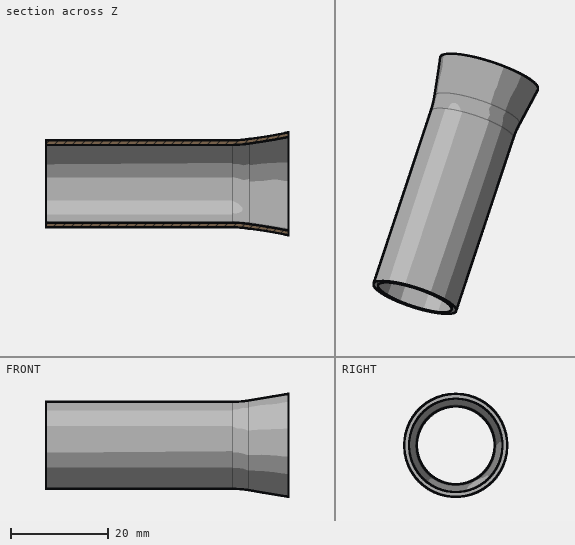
import cadquery as cq
import math

length = 50.0
tube_radius = 9.0
wall = 1.0
flare_radius = 10.65
bend_start = 38.5
bend_radius = 20.0
flare_angle = math.radians(9.5)


def bend_point(angle, inset):
    """Point on the bend after turning by angle, inset from the outer surface."""
    radius = bend_radius + inset
    x = bend_start + radius * math.sin(angle)
    r = tube_radius + bend_radius - radius * math.cos(angle)
    return x, r


def flared_solid(inset):
    """Solid flared bar whose surface lies a uniform inset inside the tube's outer surface."""
    rim_radius = flare_radius - inset / math.cos(flare_angle)
    return (
        cq.Workplane("XZ")
        .lineTo(0, tube_radius - inset)
        .lineTo(*bend_point(0, inset))
        .threePointArc(bend_point(flare_angle / 2, inset), bend_point(flare_angle, inset))
        .lineTo(length, rim_radius)
        .lineTo(length, 0)
        .close()
        .revolve(360, (0, 0, 0), (1, 0, 0))
    )


result = flared_solid(0).cut(flared_solid(wall))